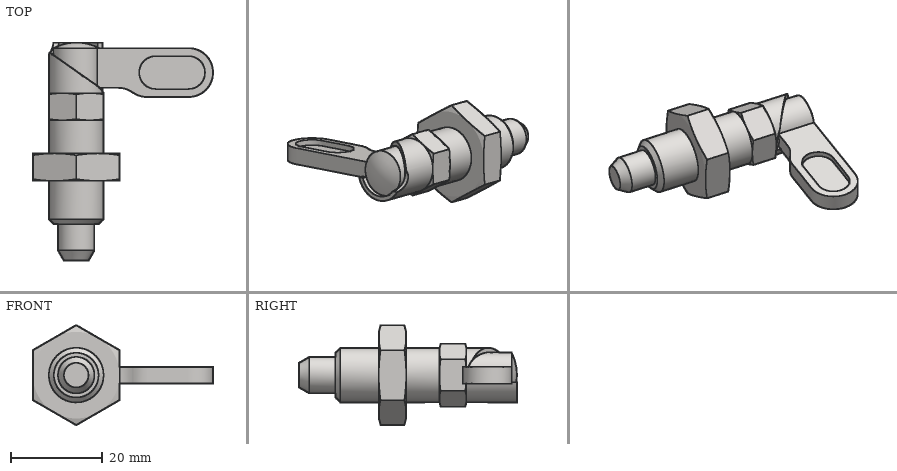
import cadquery as cq
import math


plunger_diameter = 8.0
plunger_reach = 8.0
plunger_tip_diameter = 5.4
plunger_taper_length = 2.25

body_diameter = 12.0
body_end_y = 39.8
body_chamfer = 1.1

nut_width = 19.0
nut_start_y = 9.5
nut_thickness = 6.0
collar_width = 12.0
collar_start_y = 22.8
collar_thickness = 5.9
collar_end_y = collar_start_y + collar_thickness
hex_chamfer_angle = 15.0

hub_diameter = 10.0
hub_edge_y = 38.6
hub_dome_y = body_end_y
hub_radius = hub_diameter / 2

ramp_middle_y = 33.55
ramp_slope = -0.70
ramp_floor_z = 0.0
notch_radius = 3.0
notch_center_y = 40.15
notch_center_z = -0.3
slot_radius = 5.0
slot_bottom_y = 28.8
slot_floor_z = -1.6

lever_thickness = 3.67
lever_tip_x = 30.0
lever_end_radius = 5.38
lever_neck_bottom_y = 29.85
blend_end_x = 15.5
blend_angle = math.radians(33.7)
pocket_radius = 3.6
pocket_start_x = 13.8
pocket_depth = 1.2
lever_top_y = hub_edge_y
lever_center_y = lever_top_y - lever_end_radius
lever_end_center_x = lever_tip_x - lever_end_radius


def rod(diameter, start_y, end_y):
    """Cylinder along Y between two stations."""
    return (
        cq.Workplane("XZ", origin=(0, start_y, 0))
        .circle(diameter / 2)
        .extrude(start_y - end_y)
    )


def turn(profile):
    """Revolve a closed half profile in the XY plane about the Y axis."""
    return profile.revolve(360, (0, 0, 0), (0, 1, 0))


def make_plunger():
    """Plunger with a tapered tip, rooted just inside the body."""
    radius = plunger_diameter / 2
    tip_radius = plunger_tip_diameter / 2
    outline = [
        (0, -plunger_reach),
        (tip_radius, -plunger_reach),
        (radius, -plunger_reach + plunger_taper_length),
        (radius, body_chamfer),
        (0, body_chamfer),
    ]
    return turn(cq.Workplane("XY").polyline(outline).close())


def make_hex(width, start_y, thickness):
    """Hexagon along Y whose corners are turned down conically at both ends."""
    corner_radius = width / math.sqrt(3)
    flat_radius = width / 2
    chamfer_length = (corner_radius - flat_radius) * math.tan(math.radians(hex_chamfer_angle))
    end_y = start_y + thickness
    prism = (
        cq.Workplane("XZ", origin=(0, start_y, 0))
        .transformed(rotate=(0, 0, 90))
        .polygon(6, 2 * corner_radius)
        .extrude(-thickness)
    )
    turned_outline = [
        (0, start_y),
        (flat_radius, start_y),
        (corner_radius, start_y + chamfer_length),
        (corner_radius, end_y - chamfer_length),
        (flat_radius, end_y),
        (0, end_y),
    ]
    turned = turn(cq.Workplane("XY").polyline(turned_outline).close())
    return prism.intersect(turned)


def make_cam_cut():
    """Volume removed from the sleeve end of the body."""
    reach = body_diameter
    ramp = (
        cq.Workplane("XY", origin=(0, 0, ramp_floor_z))
        .polyline([
            (-reach, ramp_middle_y - ramp_slope * reach),
            (reach, ramp_middle_y + ramp_slope * reach),
            (reach, ramp_middle_y - ramp_slope * reach),
        ])
        .close()
        .extrude(reach)
    )
    notch = (
        cq.Workplane("YZ")
        .center(notch_center_y, notch_center_z)
        .circle(notch_radius)
        .extrude(-reach)
    )
    slot_center_y = slot_bottom_y + slot_radius
    slot_arc_start_y = slot_center_y - math.sqrt(slot_radius**2 - slot_floor_z**2)
    slot = (
        cq.Workplane("YZ")
        .moveTo(slot_center_y + reach, slot_floor_z)
        .lineTo(slot_arc_start_y, slot_floor_z)
        .threePointArc((slot_bottom_y, 0), (slot_center_y, slot_radius))
        .lineTo(slot_center_y + reach, slot_radius)
        .close()
        .extrude(reach)
    )
    return ramp.union(notch).union(slot)


def make_body():
    """Round body with a bored sleeve end whose rim is the cam edge."""
    body = rod(body_diameter, 0, body_end_y).faces("<Y").chamfer(body_chamfer)
    bore = rod(hub_diameter, collar_end_y, body_end_y)
    return body.cut(bore).cut(make_cam_cut())


def make_hub():
    """Hub with a shallow domed end."""
    dome_height = hub_dome_y - hub_edge_y
    dome_radius = (hub_radius**2 + dome_height**2) / (2 * dome_height)
    mid_x = hub_radius / 2
    mid_y = hub_dome_y - dome_radius + math.sqrt(dome_radius**2 - mid_x**2)
    profile = (
        cq.Workplane("XY")
        .moveTo(0, collar_end_y)
        .lineTo(hub_radius, collar_end_y)
        .lineTo(hub_radius, hub_edge_y)
        .threePointArc((mid_x, mid_y), (0, hub_dome_y))
        .close()
    )
    return turn(profile)


def make_lever():
    """Flat lever that widens to a round end with a shallow thumb pocket."""
    lower_y = lever_center_y - lever_end_radius
    arc_length_x = lever_end_radius * math.sin(blend_angle)
    arc_drop = lever_end_radius * (1 - math.cos(blend_angle))
    hollow_end_y = lever_neck_bottom_y - arc_drop
    bulge_start_x = blend_end_x - arc_length_x
    bulge_start_y = lower_y + arc_drop
    hollow_end_x = bulge_start_x - (hollow_end_y - bulge_start_y) / math.tan(blend_angle)
    hollow_start_x = hollow_end_x - arc_length_x
    plate = (
        cq.Workplane("XY", origin=(0, 0, -lever_thickness / 2))
        .moveTo(0, lever_top_y)
        .lineTo(0, lever_neck_bottom_y)
        .lineTo(hollow_start_x, lever_neck_bottom_y)
        .tangentArcPoint((hollow_end_x, hollow_end_y), relative=False)
        .lineTo(bulge_start_x, bulge_start_y)
        .tangentArcPoint((blend_end_x, lower_y), relative=False)
        .lineTo(lever_end_center_x, lower_y)
        .threePointArc((lever_tip_x, lever_center_y), (lever_end_center_x, lever_top_y))
        .close()
        .extrude(lever_thickness)
    )
    pocket_end_x = lever_end_center_x + pocket_radius
    pocket_center_x = (pocket_start_x + pocket_end_x) / 2
    pocket = (
        cq.Workplane("XY", origin=(pocket_center_x, lever_center_y, lever_thickness / 2))
        .slot2D(pocket_end_x - pocket_start_x, 2 * pocket_radius)
        .extrude(-pocket_depth)
    )
    return plate.cut(pocket)


nut = make_hex(nut_width, nut_start_y, nut_thickness)
collar = make_hex(collar_width, collar_start_y, collar_thickness)

result = make_body()
for piece in (make_plunger(), nut, collar, make_hub(), make_lever()):
    result = result.union(piece)